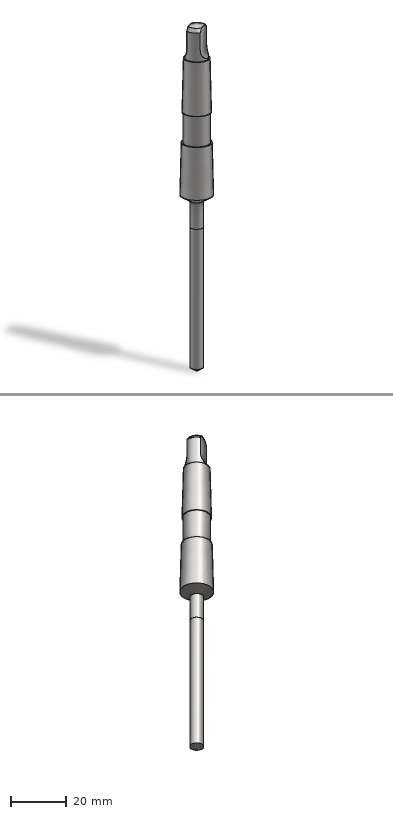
import cadquery as cq
import math

total_length = 133.0
drill_length = 55.2
cone_bottom = 65.3
lower_taper_bottom = 67.5
lower_taper_top = 87.6
upper_taper_bottom = 99.4
upper_taper_top = 120.0
bevel_bottom = 131.0
bevel_top = 132.5

drill_diameter = 5.0
taper_large_diameter = 12.2
taper_small_diameter = 9.7
tang_diameter = 8.6
tang_end_diameter = 6.5
relief_diameter = 10.1

point_angle = 118.0

tang_thickness = 5.2
flat_bottom = 124.4
runout_radius = 5.3
flat_direction = 50.0
cutter_width = 13.3

drill_radius = drill_diameter / 2
point_height = drill_radius / math.tan(math.radians(point_angle / 2))

taper_slope = (taper_large_diameter - taper_small_diameter) / 2 / (upper_taper_top - lower_taper_bottom)


def taper_radius(z):
    """Radius of the shank cone at height z."""
    return taper_large_diameter / 2 - taper_slope * (z - lower_taper_bottom)


def revolve_profile(points):
    """Turn a closed (radius, height) outline around the Z axis."""
    return cq.Workplane("XZ").polyline(points).close().revolve(360, (0, 0), (0, 1))


def tang_flat_cutter():
    """Tool removing one side of the tang, with an arc running out of the flat."""
    flat_offset = tang_thickness / 2
    outer_offset = flat_offset + runout_radius
    arc_mid_offset = outer_offset - runout_radius * math.cos(math.pi / 4)
    arc_mid_height = flat_bottom - runout_radius * math.sin(math.pi / 4)
    return (
        cq.Workplane("XZ")
        .moveTo(flat_offset, total_length)
        .lineTo(flat_offset, flat_bottom)
        .threePointArc((arc_mid_offset, arc_mid_height), (outer_offset, flat_bottom - runout_radius))
        .lineTo(outer_offset, total_length)
        .close()
        .extrude(cutter_width / 2, both=True)
    )


def make_shank():
    """Taper shank with its neck, relief cylinder and flattened tang."""
    shank = revolve_profile([
        (0, drill_length),
        (drill_radius, drill_length),
        (drill_radius, cone_bottom),
        (taper_radius(lower_taper_bottom), lower_taper_bottom),
        (taper_radius(lower_taper_top), lower_taper_top),
        (relief_diameter / 2, lower_taper_top),
        (relief_diameter / 2, upper_taper_bottom),
        (taper_radius(upper_taper_bottom), upper_taper_bottom),
        (taper_radius(upper_taper_top), upper_taper_top),
        (tang_diameter / 2, upper_taper_top),
        (tang_diameter / 2, bevel_bottom),
        (tang_end_diameter / 2, bevel_top),
        (0, total_length),
    ])
    for side in (0, 180):
        shank = shank.cut(tang_flat_cutter().rotate((0, 0, 0), (0, 0, 1), flat_direction + side))
    return shank


def make_drill():
    """Cylindrical cutting portion with a conical point, butted against the neck."""
    return revolve_profile([
        (0, 0),
        (drill_radius, point_height),
        (drill_radius, drill_length),
        (0, drill_length),
    ])


shank = make_shank()
drill = make_drill()

result = cq.Compound.makeCompound([shank.val(), drill.val()])